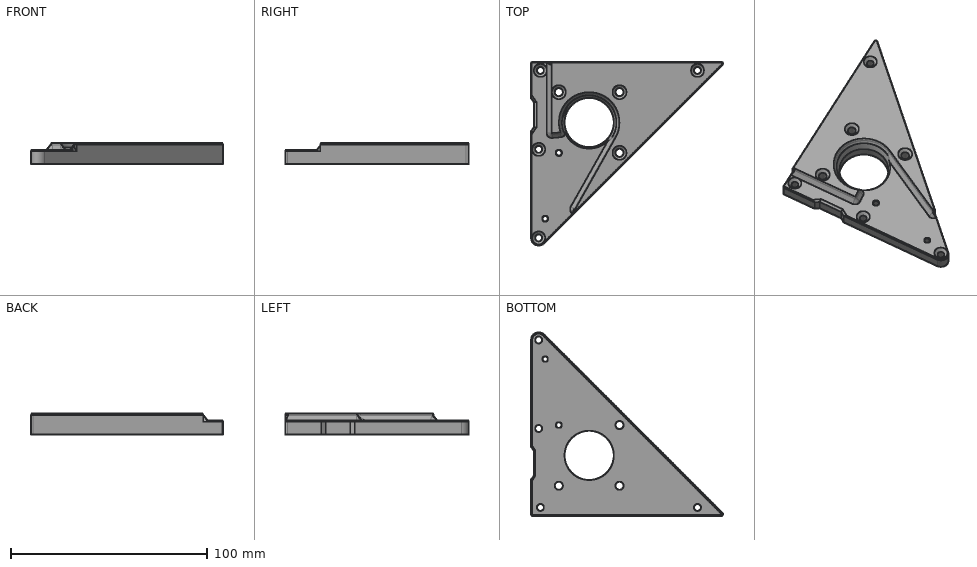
import cadquery as cq
import math

TOTAL_HEIGHT = 11.0
LOWER_HEIGHT = 7.5
LENGTH = 97.9
CORNER_RADIUS = 1.0
END_RADIUS = 3.9
END_CENTER = (3.9, -89.8)
TOP_EDGE_WIDTH = 0.4
TOP_EDGE_DROP = 0.9
BOTTOM_EDGE_WIDTH = 0.3
BOTTOM_EDGE_DROP = 0.7

STEP_LEFT = 10.7
STEP_CORNER_Y = -36.2
STEP_BORE_RADIUS = 15.6
STEP_TONGUE_Y = -35.8
STEP_TAIL_Y = -75.2
STEP_TAIL_ANGLE = 60.6
STEP_CORNER_RADIUS = 0.1
STEP_RIM_WIDTH = 0.6
WALL_SLOPE = 0.78
STEP_MARGIN = 19.6

BORE_CENTER = (29.7, -30.9)
BORE_DIAMETER = 25.0
BORE_LEAD_DIAMETER = 27.8
BORE_LEAD_START = 5.5
BORE_LEAD_END = 8.8
PATTERN_HALF_PITCH = 15.5

PATTERN_HOLE_DIAMETER = 4.0
PATTERN_SINK_DIAMETER = 7.1
CORNER_HOLE_DIAMETER = 3.4
CORNER_SINK_DIAMETER = 6.7
LARGE_PILOT_DIAMETER = 2.7
SMALL_PILOT_DIAMETER = 2.5
PILOT_SINK_WIDTH = 0.3
SMALL_PILOT_POINT = (7.2, -80.0)
LEFT_HOLE_POINTS = [(4.8, -4.4), (3.9, -44.6), END_CENTER]
TIP_HOLE_POINT = (84.9, -4.4)

NOTCH_DEPTH = 1.5
NOTCH_TOP = -20.7
NOTCH_BOTTOM = -33.3
NOTCH_SIDE_SLOPE = 1.45
NOTCH_FLARE = 1.4
NOTCH_OVERHANG = 2.9


def edge_tangent():
    """Point where the 45 degree edge meets the rounded end."""
    diagonal = END_RADIUS * math.sqrt(0.5)
    return END_CENTER[0] + diagonal, END_CENTER[1] - diagonal


def sharp_tip_x():
    """Where the 45 degree edge would meet the top edge without tip rounding."""
    tangent_x, tangent_y = edge_tangent()
    return tangent_x - tangent_y


def plate_prism(height, slope=0.0):
    """Plate outline with sharp corners, its walls leaning inward by slope per unit height."""
    cx, cy = END_CENTER
    return (
        cq.Workplane("XY")
        .lineTo(sharp_tip_x(), 0)
        .lineTo(*edge_tangent())
        .threePointArc((cx, cy - END_RADIUS), (0, cy))
        .close()
        .extrude(height, taper=math.degrees(math.atan(slope)))
    )


def notch_outline():
    """Corner points of the edge relief, with slanted ends running out past the left edge."""
    rise = NOTCH_SIDE_SLOPE * (NOTCH_DEPTH + NOTCH_OVERHANG)
    return [
        (-NOTCH_OVERHANG, NOTCH_TOP + rise),
        (NOTCH_DEPTH, NOTCH_TOP),
        (NOTCH_DEPTH, NOTCH_BOTTOM),
        (-NOTCH_OVERHANG, NOTCH_BOTTOM - rise),
    ]


def plate_body(height):
    """Plate with rounded corners, left edge relief and bevelled top and bottom edges."""
    body = plate_prism(height)
    tip_radius = (sharp_tip_x() - LENGTH) / (1 / math.tan(math.pi / 8) - 1)
    body = body.edges("|Z").edges(">X").fillet(tip_radius)
    body = body.edges("|Z").edges(cq.NearestToPointSelector((0, 0, height / 2))).fillet(CORNER_RADIUS)
    body = body.cut(cq.Workplane("XY").polyline(notch_outline()).close().extrude(height))
    body = body.faces("<Z").chamfer(BOTTOM_EDGE_DROP, BOTTOM_EDGE_WIDTH)
    return body.faces(">Z").chamfer(TOP_EDGE_DROP, TOP_EDGE_WIDTH)


def tapered_block(outline, offset, base_z, height, slope):
    """Block standing on the enlarged outline, its walls leaning inward by slope per unit height."""
    return (
        cq.Workplane("XY")
        .add(outline)
        .toPending()
        .offset2D(offset)
        .extrude(height, taper=math.degrees(math.atan(slope)))
        .translate((0, 0, base_z))
    )


def raised_step():
    """Full-height part of the plate, with a ramp along its walls down to the lower face."""
    cx, cy = BORE_CENTER
    radius = STEP_BORE_RADIUS
    tongue_x = cx - math.sqrt(radius**2 - (STEP_TONGUE_Y - cy) ** 2)
    angle = math.radians(STEP_TAIL_ANGLE)
    tangent = (cx + radius * math.sin(angle), cy - radius * math.cos(angle))
    tail_x = tangent[0] - (tangent[1] - STEP_TAIL_Y) / math.tan(angle)
    crest = (
        cq.Workplane("XY")
        .moveTo(STEP_LEFT, STEP_MARGIN)
        .lineTo(STEP_LEFT, STEP_CORNER_Y)
        .lineTo(tongue_x, STEP_TONGUE_Y)
        .threePointArc((cx, cy + radius), tangent)
        .lineTo(tail_x, STEP_TAIL_Y)
        .lineTo(LENGTH + STEP_MARGIN, STEP_TAIL_Y)
        .lineTo(LENGTH + STEP_MARGIN, STEP_MARGIN)
        .close()
        .val()
    )
    shoulder_z = TOTAL_HEIGHT - TOP_EDGE_DROP
    base_z = LOWER_HEIGHT - TOP_EDGE_DROP
    wall_height = shoulder_z - base_z
    shoulder_offset = STEP_CORNER_RADIUS + STEP_RIM_WIDTH
    base_offset = shoulder_offset + WALL_SLOPE * wall_height
    core = tapered_block(crest, shoulder_offset, base_z, wall_height, 0)
    rim = tapered_block(crest, shoulder_offset, shoulder_z, TOP_EDGE_DROP, STEP_RIM_WIDTH / TOP_EDGE_DROP)
    ramp = tapered_block(crest, base_offset, base_z, wall_height, WALL_SLOPE)
    trim = plate_prism(wall_height, TOP_EDGE_WIDTH / TOP_EDGE_DROP).translate((0, 0, base_z))
    step = core.union(rim).union(ramp.intersect(trim))
    return plate_body(TOTAL_HEIGHT).intersect(step)


def bore_cutter():
    """Through bore with a conical lead-in."""
    radius = BORE_DIAMETER / 2
    lead_radius = BORE_LEAD_DIAMETER / 2
    return (
        cq.Workplane("XZ")
        .polyline([
            (0, 0),
            (radius, 0),
            (radius, BORE_LEAD_START),
            (lead_radius, BORE_LEAD_END),
            (0, BORE_LEAD_END),
        ])
        .close()
        .revolve(360, (0, 0), (0, 1))
        .translate((*BORE_CENTER, 0))
    )


def sunk_hole(point, diameter, sink_diameter, surface_z):
    """Through hole with a 90 degree countersink at the given face height."""
    radius = diameter / 2
    sink_radius = sink_diameter / 2
    return (
        cq.Workplane("XZ")
        .polyline([
            (0, 0),
            (radius, 0),
            (radius, surface_z - (sink_radius - radius)),
            (sink_radius, surface_z),
            (0, surface_z),
        ])
        .close()
        .revolve(360, (0, 0), (0, 1))
        .translate((*point, 0))
    )


def notch_flare():
    """Wide bevel where the edge relief meets the lower top face."""
    outline = notch_outline()
    flared = [(x + NOTCH_FLARE, y) for x, y in outline]
    return (
        cq.Workplane("XY", origin=(0, 0, LOWER_HEIGHT - TOP_EDGE_DROP))
        .polyline(outline)
        .close()
        .workplane(offset=TOP_EDGE_DROP)
        .polyline(flared)
        .close()
        .loft(ruled=True)
    )


result = plate_body(LOWER_HEIGHT).union(raised_step())
result = result.cut(bore_cutter()).cut(notch_flare())

for hole_point in LEFT_HOLE_POINTS:
    result = result.cut(sunk_hole(hole_point, CORNER_HOLE_DIAMETER, CORNER_SINK_DIAMETER, LOWER_HEIGHT))
result = result.cut(sunk_hole(TIP_HOLE_POINT, CORNER_HOLE_DIAMETER, CORNER_SINK_DIAMETER, TOTAL_HEIGHT))

for side_x, side_y in [(-1, 1), (1, 1), (1, -1)]:
    hole_point = (
        BORE_CENTER[0] + side_x * PATTERN_HALF_PITCH,
        BORE_CENTER[1] + side_y * PATTERN_HALF_PITCH,
    )
    result = result.cut(sunk_hole(hole_point, PATTERN_HOLE_DIAMETER, PATTERN_SINK_DIAMETER, TOTAL_HEIGHT))
pattern_pilot_point = (BORE_CENTER[0] - PATTERN_HALF_PITCH, BORE_CENTER[1] - PATTERN_HALF_PITCH)

for hole_point, diameter in [
    (pattern_pilot_point, LARGE_PILOT_DIAMETER),
    (SMALL_PILOT_POINT, SMALL_PILOT_DIAMETER),
]:
    result = result.cut(sunk_hole(hole_point, diameter, diameter + 2 * PILOT_SINK_WIDTH, LOWER_HEIGHT))